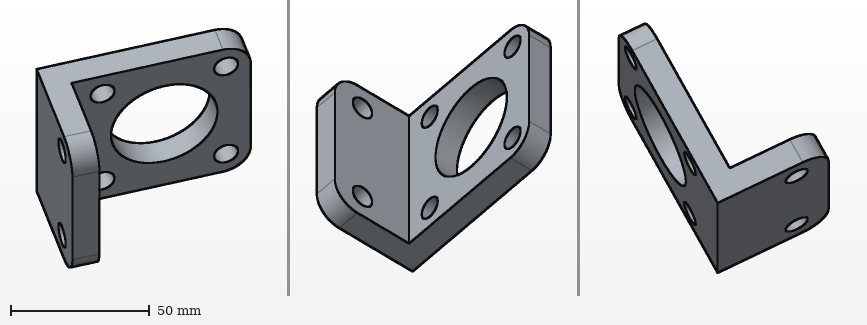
import cadquery as cq

width = 45.0
depth = 77.5
height = 65.0
thickness = 10.15
corner_radius = 10.55

bore_diameter = 40.0
hole_diameter = 9.0
bore_from_front = 44.95
bolt_spacing = 46.4

flange_hole_from_side = 32.0
flange_hole_spacing = 45.0

mid_height = height / 2


def rounded_plate(size_x, size_y, rounded_edges):
    """Full-height plate with its two free corners rounded."""
    plate = cq.Workplane("XY").box(size_x, size_y, height, centered=False)
    return plate.edges(rounded_edges).fillet(corner_radius)


def drill_x(y, z, diameter):
    """Cutter along X through the large plate."""
    return cq.Workplane("YZ").center(y, z).circle(diameter / 2).extrude(thickness)


def drill_y(x, z, diameter):
    """Cutter along +Y through the short flange."""
    return cq.Workplane("XZ").center(x, z).circle(diameter / 2).extrude(-thickness)


large_plate = rounded_plate(thickness, depth, "|X and >Y")
short_flange = rounded_plate(width, thickness, "|Y and >X")
result = large_plate.union(short_flange)

result = result.cut(drill_x(bore_from_front, mid_height, bore_diameter))
for side_y in (-1, 1):
    for side_z in (-1, 1):
        bolt_y = bore_from_front + side_y * bolt_spacing / 2
        bolt_z = mid_height + side_z * bolt_spacing / 2
        result = result.cut(drill_x(bolt_y, bolt_z, hole_diameter))

for side_z in (-1, 1):
    hole_z = mid_height + side_z * flange_hole_spacing / 2
    result = result.cut(drill_y(flange_hole_from_side, hole_z, hole_diameter))